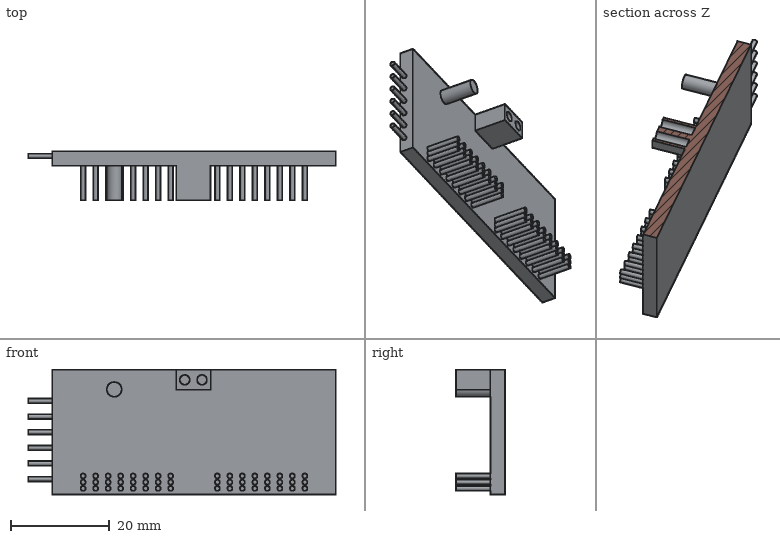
import cadquery as cq

total_length = 62.5
side_pin_length = 4.9
board_length = total_length - side_pin_length
board_height = 25.4
board_thickness = 3.0
front_reach = 7.0

pin_diameter = 1.0
side_pin_count = 6
side_pin_pitch = board_height / 8
side_pin_depth = 1.0

header_columns = 8
header_rows = 3
column_pitch = board_height / 10
row_pitch = column_pitch / 2
header_end_margin = 6.3
header_span = (header_columns - 1) * column_pitch
header_starts = (header_end_margin, board_length - header_end_margin - header_span)

post_diameter = 3.0
post_x = 12.6
post_z = board_height - 4.0

block_width = 7.0
block_height = 4.1
block_left = 25.2
socket_diameter = 2.0
socket_depth = front_reach
socket_pitch = block_width / 2



def front_cylinders(points, diameter):
    """Cylinders standing on the front face at the given (x, z) points."""
    return cq.Workplane("XZ").pushPoints(points).circle(diameter / 2).extrude(front_reach)


def make_board():
    return cq.Workplane("XY").box(board_length, board_thickness, board_height, centered=False)


def make_side_pins():
    pin_y = board_thickness - side_pin_depth
    points = [(pin_y, (i + 1) * side_pin_pitch) for i in range(side_pin_count)]
    return cq.Workplane("YZ").pushPoints(points).circle(pin_diameter / 2).extrude(-side_pin_length)


def make_header_pins():
    points = [
        (start + column * column_pitch, (row + 1) * row_pitch)
        for start in header_starts
        for column in range(header_columns)
        for row in range(header_rows)
    ]
    return front_cylinders(points, pin_diameter)


def make_terminal_block():
    block = (
        cq.Workplane("XY")
        .box(block_width, front_reach, block_height, centered=False)
        .translate((block_left, -front_reach, board_height - block_height))
    )
    return (
        block.faces("<Y")
        .workplane(centerOption="CenterOfBoundBox")
        .rarray(socket_pitch, 0.6, 2, 1)
        .hole(socket_diameter, socket_depth)
    )


result = (
    make_board()
    .union(make_side_pins())
    .union(make_header_pins())
    .union(front_cylinders([(post_x, post_z)], post_diameter))
    .union(make_terminal_block())
)